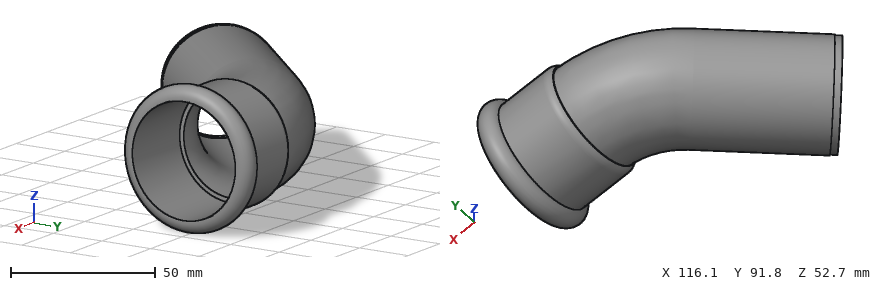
import cadquery as cq
import math

tube_diameter = 42.0
wall = 1.5
tip_inset = 0.29
socket_diameter = 45.4
shoulder_diameter = 42.7
bead_diameter = 52.7
tube_bore = tube_diameter - 2 * wall
socket_bore = socket_diameter - 2 * wall

tip_diameter = tube_diameter - 2 * tip_inset
tip_bore = tube_bore - 2 * tip_inset

overall_length = 116.1
socket_depth = 30.1
shoulder_length = 3.1
bead_width = 9.0
tip_length = 2.7

bend_angle = 45.0
bend_radius = 49.6

sine = math.sin(math.radians(bend_angle))
cosine = math.cos(math.radians(bend_angle))
tip_overhang = tip_diameter / 2 * sine
spigot_length = (
    overall_length - socket_depth - bend_radius * sine - tip_overhang
) / cosine

spigot_plane = cq.Plane(
    origin=(-bend_radius * sine, -bend_radius * (1 - cosine), 0),
    xDir=(0, 0, 1),
    normal=(-cosine, -sine, 0),
)


def bend(diameter):
    """Curved pipe body from the socket to the spigot."""
    return (
        cq.Workplane("YZ")
        .circle(diameter / 2)
        .revolve(bend_angle, (-bend_radius, 0, 0), (-bend_radius, 1, 0))
    )


def spigot(diameter, length):
    """Straight cylinder leaving the far end of the bend."""
    return cq.Workplane(spigot_plane).circle(diameter / 2).extrude(length)


def socket():
    """Socket sleeve with a rounded shoulder and a rounded bead at the mouth."""
    radius = socket_diameter / 2
    bead_start = socket_depth - bead_width
    bead_round = bead_width / 2
    bead_shoulder = bead_diameter / 2 - bead_round
    shoulder_drop = (socket_diameter - shoulder_diameter) / 2
    shoulder_round = (shoulder_length**2 + shoulder_drop**2) / (2 * shoulder_drop)
    return (
        cq.Workplane("XY")
        .moveTo(-shoulder_length, 0)
        .lineTo(-shoulder_length, shoulder_diameter / 2)
        .radiusArc((0, radius), shoulder_round)
        .lineTo(bead_start, radius)
        .lineTo(bead_start, bead_shoulder)
        .threePointArc(
            (bead_start + bead_round, bead_diameter / 2),
            (socket_depth, bead_shoulder),
        )
        .lineTo(socket_depth, 0)
        .close()
        .revolve(360, (0, 0, 0), (1, 0, 0))
    )


straight_length = spigot_length - tip_length
outside = (
    bend(tube_diameter)
    .union(spigot(tube_diameter, straight_length))
    .union(spigot(tip_diameter, spigot_length))
    .union(socket())
)
socket_hole = cq.Workplane("YZ").circle(socket_bore / 2).extrude(socket_depth)

result = (
    outside
    .cut(bend(tube_bore))
    .cut(spigot(tube_bore, straight_length))
    .cut(spigot(tip_bore, spigot_length))
    .cut(socket_hole)
)